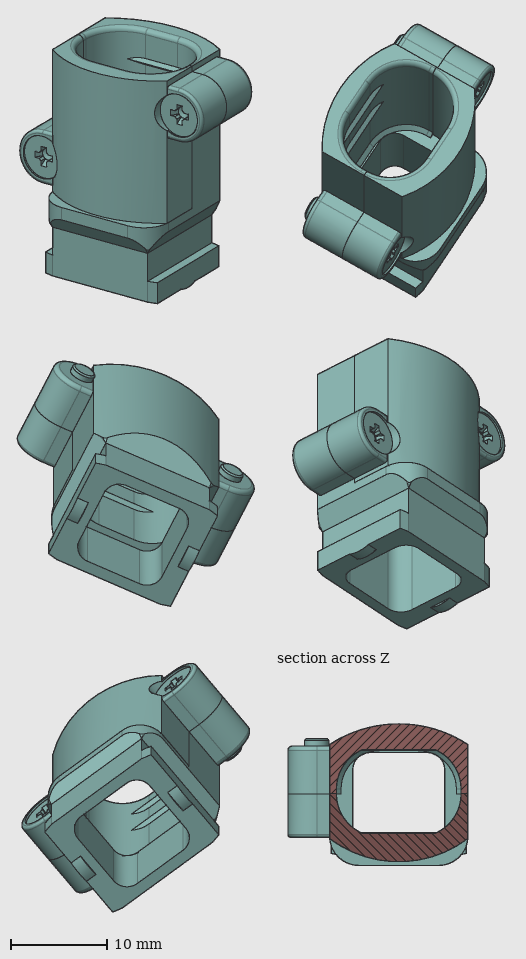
import cadquery as cq
import math

TOP_Z = 25.0
FLOOR_Z = 8.85
NECK_TOP_Z = 5.8
NECK_BOTTOM_Z = 0.25

HALF_WIDTH = 7.18
BACK_CORNER_Y = 5.12
BACK_Y = 7.28
FRONT_CORNER_Y = -4.62
FRONT_Y = -7.05
FLANGE_FRONT_Y = -7.42
FLANGE_CORNER_R = 3.05

CAVITY_HALF_WIDTH = 6.45
CAVITY_BACK_Y = 4.95
CAVITY_FRONT_Y = -4.45
CAVITY_CORNER_R = 4.45
RIM_R = 0.55
FLOOR_CHAMFER = 0.48

NECK_HALF_SIZE = 5.95
NECK_CENTRE_Y = -0.48
NECK_BACK_Y = NECK_CENTRE_Y + NECK_HALF_SIZE
NECK_FRONT_Y = NECK_CENTRE_Y - NECK_HALF_SIZE
NECK_WALL = 1.2
OPENING_CORNER_R = 1.75
SHOULDER_ANGLE = 31.3

FOOT_X = 7.0
FOOT_TOP_Z = 2.62
FOOT_END_SETBACK = 0.25
BUMP_INNER_X = 5.75
BUMP_HALF_LENGTH = 1.3

LUG_R = 3.0
LUG_X = 8.5
LUG_BACK_Y = 4.98
LUG_FRONT_Y = -4.52
LUG_BACK_EDGE_R = 0.48
LUG_FRONT_EDGE_R = 0.32
RIGHT_LUG_Z = 21.38
LUG_SPACING_Z = 9.0
LUG_CENTRES = [(LUG_X, RIGHT_LUG_Z), (-LUG_X, RIGHT_LUG_Z - LUG_SPACING_Z)]

RIB_HEIGHT = 0.45
RIB_HALF_WIDTH = 0.35
RIB_CENTRES_Z = [RIGHT_LUG_Z, RIGHT_LUG_Z - LUG_SPACING_Z / 2]

HEAD_R = 2.4
HEAD_SETBACK = 0.22
HEAD_FRONT_Y = LUG_FRONT_Y + HEAD_SETBACK
HEAD_DEPTH = 1.25
SHANK_R = 1.28
SHANK_END_Y = 5.72
SHANK_CHAMFER = 0.18
CROSS_HALF_LENGTH = 1.1
CROSS_WIDTH = 0.65
CROSS_DEPTH = 0.75
CROSS_CENTRE_R = 0.65
CROSS_TIP_DEPTH = 1.0


def box_between(x_range, y_range, z_range):
    """Box given by its lower and upper limit along each axis."""
    spans = (x_range, y_range, z_range)
    sizes = [high - low for low, high in spans]
    return cq.Workplane("XY").box(*sizes, centered=False).translate([low for low, high in spans])


def cylinder_along_y(centre, radius, front_y, back_y):
    """Cylinder around an (x, z) centre, from front_y back to back_y."""
    x, z = centre
    return cq.Workplane("XZ", origin=(x, back_y, z)).circle(radius).extrude(back_y - front_y)



def arched_half(corner_y, crown_y, bottom_z, top_z):
    """Half of the barrel outline: straight sides from Y = 0 and an arched outer face."""
    return (
        cq.Workplane("XY", origin=(0, 0, bottom_z))
        .moveTo(-HALF_WIDTH, 0)
        .lineTo(-HALF_WIDTH, corner_y)
        .threePointArc((0, crown_y), (HALF_WIDTH, corner_y))
        .lineTo(HALF_WIDTH, 0)
        .close()
        .extrude(top_z - bottom_z)
    )


def cavity():
    """Straight-walled space with rounded corners, from the floor to the top."""
    space = box_between(
        (-CAVITY_HALF_WIDTH, CAVITY_HALF_WIDTH), (CAVITY_FRONT_Y, CAVITY_BACK_Y), (FLOOR_Z, TOP_Z)
    )
    return space.edges("|Z").fillet(CAVITY_CORNER_R)


def round_rim(half):
    """Round the inner top edges of a hollowed half of the barrel."""
    margin = RIM_R / 10
    inner_top_edges = cq.selectors.BoxSelector(
        (-CAVITY_HALF_WIDTH - margin, CAVITY_FRONT_Y - margin, TOP_Z - margin),
        (CAVITY_HALF_WIDTH + margin, CAVITY_BACK_Y + margin, TOP_Z + margin),
    )
    return half.edges(inner_top_edges).fillet(RIM_R)


def ribs(wall_y, inward):
    """Three-sided ridges along X on a cavity wall, trimmed to the cavity."""
    ridges = cq.Workplane("XY")
    for rib_z in RIB_CENTRES_Z:
        ridge = (
            cq.Workplane("YZ", origin=(-CAVITY_HALF_WIDTH, 0, 0))
            .moveTo(wall_y, rib_z - RIB_HALF_WIDTH)
            .lineTo(wall_y + inward * RIB_HEIGHT, rib_z)
            .lineTo(wall_y, rib_z + RIB_HALF_WIDTH)
            .close()
            .extrude(2 * CAVITY_HALF_WIDTH)
        )
        ridges = ridges.add(ridge.intersect(cavity()))
    return ridges.combine()



def lug(centre, end_y, edge_r):
    """Half of a clamp lug, from Y = 0 to end_y, rounded on the side away from the barrel."""
    x, z = centre
    side = math.copysign(1, x)
    barrel_side_x = side * HALF_WIDTH
    whole = (
        cq.Workplane("XZ")
        .moveTo(barrel_side_x, z - LUG_R)
        .lineTo(x, z - LUG_R)
        .threePointArc((x + side * LUG_R, z), (x, z + LUG_R))
        .lineTo(barrel_side_x, z + LUG_R)
        .close()
        .extrude(-end_y)
    )
    end_face = ">Y" if end_y > 0 else "<Y"
    return whole.faces(end_face).edges("not |Z").fillet(edge_r)


def screw_blank(centre):
    """Head and shank of a screw, without the driver recess."""
    head = cylinder_along_y(centre, HEAD_R, HEAD_FRONT_Y, HEAD_FRONT_Y + HEAD_DEPTH)
    shank = cylinder_along_y(centre, SHANK_R, HEAD_FRONT_Y, SHANK_END_Y)
    return head.union(shank.faces(">Y").chamfer(SHANK_CHAMFER))


def cross_recess(centre):
    """Cross-shaped driver recess: sloping arm ends around a round hole with a conical bottom."""
    arm = (
        cq.Workplane("XY")
        .moveTo(-CROSS_HALF_LENGTH, 0)
        .lineTo(-CROSS_CENTRE_R, CROSS_DEPTH)
        .lineTo(CROSS_CENTRE_R, CROSS_DEPTH)
        .lineTo(CROSS_HALF_LENGTH, 0)
        .close()
        .extrude(CROSS_WIDTH / 2, both=True)
    )
    middle = (
        cq.Workplane("XY")
        .lineTo(CROSS_CENTRE_R, 0)
        .lineTo(CROSS_CENTRE_R, CROSS_DEPTH)
        .lineTo(0, CROSS_TIP_DEPTH)
        .close()
        .revolve(360, (0, 0, 0), (0, 1, 0))
    )
    cross = middle.union(arm).union(arm.rotate((0, 0, 0), (0, 1, 0), 90))
    x, z = centre
    return cross.translate((x, HEAD_FRONT_Y, z))


def make_screw(centre):
    return screw_blank(centre).cut(cross_recess(centre))


def cut_screw_holes(body):
    """Cut the seats of both screws, and keep the barrel clear in front of their heads."""
    for centre in LUG_CENTRES:
        body = body.cut(screw_blank(centre))
        body = body.cut(cylinder_along_y(centre, HEAD_R, FRONT_Y, HEAD_FRONT_Y))
    return body



def shoulder():
    """Flange below the ledge, tapering on all sides to the square neck."""
    front = box_between((-HALF_WIDTH, HALF_WIDTH), (FLANGE_FRONT_Y, 0), (NECK_TOP_Z, FLOOR_Z))
    flange = front.edges("|Z and <Y").fillet(FLANGE_CORNER_R)
    flange = flange.union(arched_half(BACK_CORNER_Y, BACK_Y, NECK_TOP_Z, FLOOR_Z))
    taper = (
        cq.Workplane("XY", origin=(0, NECK_CENTRE_Y, NECK_TOP_Z))
        .rect(2 * NECK_HALF_SIZE, 2 * NECK_HALF_SIZE)
        .extrude(FLOOR_Z - NECK_TOP_Z, taper=-SHOULDER_ANGLE)
    )
    return flange.intersect(taper)


def clip_foot(side):
    """Foot along one side of the neck, with slanted ends and a bump below."""
    foot = (
        cq.Workplane("XY", origin=(0, 0, NECK_BOTTOM_Z))
        .moveTo(side * BUMP_INNER_X, NECK_FRONT_Y)
        .lineTo(side * NECK_HALF_SIZE, NECK_FRONT_Y)
        .lineTo(side * FOOT_X, NECK_FRONT_Y + FOOT_END_SETBACK)
        .lineTo(side * FOOT_X, NECK_BACK_Y - FOOT_END_SETBACK)
        .lineTo(side * NECK_HALF_SIZE, NECK_BACK_Y)
        .lineTo(side * BUMP_INNER_X, NECK_BACK_Y)
        .close()
        .extrude(FOOT_TOP_Z - NECK_BOTTOM_Z)
    )
    bump = (
        cq.Workplane("YZ", origin=(side * BUMP_INNER_X, 0, 0))
        .moveTo(NECK_CENTRE_Y - BUMP_HALF_LENGTH, NECK_BOTTOM_Z)
        .threePointArc((NECK_CENTRE_Y, 0), (NECK_CENTRE_Y + BUMP_HALF_LENGTH, NECK_BOTTOM_Z))
        .close()
        .extrude(side * (FOOT_X - BUMP_INNER_X))
    )
    return foot.union(bump)


def neck_opening():
    """Rounded square passage from the cavity floor out through the bottom of the neck."""
    half_size = NECK_HALF_SIZE - NECK_WALL
    passage = box_between(
        (-half_size, half_size),
        (NECK_FRONT_Y + NECK_WALL, NECK_BACK_Y - NECK_WALL),
        (NECK_BOTTOM_Z, FLOOR_Z),
    )
    return passage.edges("|Z").fillet(OPENING_CORNER_R)


def make_housing():
    back = arched_half(BACK_CORNER_Y, BACK_Y, FLOOR_Z, TOP_Z)
    back = back.cut(cavity().faces("<Z").edges().chamfer(FLOOR_CHAMFER))
    body = round_rim(back).union(ribs(CAVITY_BACK_Y, -1))
    neck = box_between(
        (-NECK_HALF_SIZE, NECK_HALF_SIZE), (NECK_FRONT_Y, NECK_BACK_Y), (NECK_BOTTOM_Z, NECK_TOP_Z)
    )
    body = body.union(shoulder()).union(neck)
    for side in (-1, 1):
        body = body.union(clip_foot(side))
    for centre in LUG_CENTRES:
        body = body.union(lug(centre, LUG_BACK_Y, LUG_BACK_EDGE_R))
    return cut_screw_holes(body.cut(neck_opening()))



def make_shell():
    front = arched_half(FRONT_CORNER_Y, FRONT_Y, FLOOR_Z, TOP_Z).cut(cavity())
    body = round_rim(front).union(ribs(CAVITY_FRONT_Y, 1))
    for centre in LUG_CENTRES:
        body = body.union(lug(centre, LUG_FRONT_Y, LUG_FRONT_EDGE_R))
    return cut_screw_holes(body)


housing = make_housing()
shell = make_shell()
screws = [make_screw(centre) for centre in LUG_CENTRES]
result = cq.Compound.makeCompound([housing.val(), shell.val(), *[screw.val() for screw in screws]])